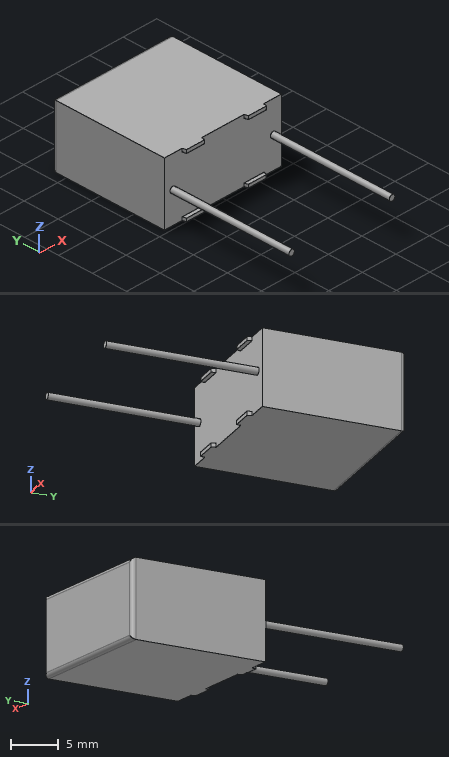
import cadquery as cq

total_length = 34.0
case_width = 17.5
case_height = 9.0

case_length = 16.5
rear_edge_radius = 0.5

foot_length = 0.5
foot_base_width = 2.95
foot_tip_width = 2.7
foot_height = 0.48
foot_spacing = 9.25

lead_diameter = 0.85
lead_pitch = 15.0
lead_length = total_length - case_length


def make_foot(x, bottom_z):
    """One foot in front of the lead face (y = 0), tapered from its base to a narrower tip."""
    half_base = foot_base_width / 2
    half_tip = foot_tip_width / 2
    return (
        cq.Workplane("XY", origin=(x, 0, bottom_z))
        .moveTo(-half_base, 0)
        .lineTo(-half_tip, -foot_length)
        .lineTo(half_tip, -foot_length)
        .lineTo(half_base, 0)
        .close()
        .extrude(foot_height)
    )


def make_case():
    """Case with its lead face at y = 0, its rear face at y = case_length and four feet."""
    case = (
        cq.Workplane("XY")
        .box(case_width, case_length, case_height)
        .translate((0, case_length / 2, 0))
        .faces(">Y")
        .edges()
        .fillet(rear_edge_radius)
    )
    lower_foot_z = -case_height / 2
    upper_foot_z = case_height / 2 - foot_height
    for x in (-foot_spacing / 2, foot_spacing / 2):
        for bottom_z in (lower_foot_z, upper_foot_z):
            case = case.union(make_foot(x, bottom_z))
    return case


def make_lead(x):
    """Lead that starts on the lead face of the case and runs toward -Y."""
    return cq.Workplane("XZ", origin=(x, 0, 0)).circle(lead_diameter / 2).extrude(lead_length)


case = make_case()
leads = [make_lead(x) for x in (-lead_pitch / 2, lead_pitch / 2)]

result = cq.Compound.makeCompound([case.solids().val(), *[lead.val() for lead in leads]])